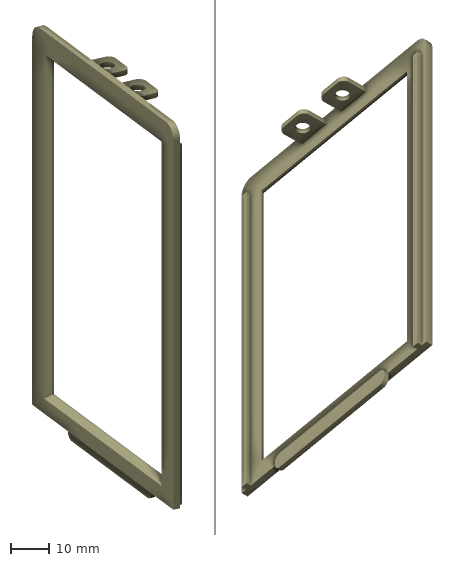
import cadquery as cq

width = 76.0
depth = 10.0
height = 114.2

frame_thickness = 2.0
frame_bottom = 4.0
frame_top_radius = 4.0

window_margin = 6.5
window_bottom_margin = 4.3
window_bevel = 1.5

back_thickness = 1.5
rail_width = 1.9
rail_inset = 1.8
rail_top = 108.1

tongue_width = 45.0
tongue_radius = 2.0
tongue_height = 5.0

lug_width = 10.0
lug_pitch = 16.3
lug_thickness = 1.5
lug_top = 112.4
lug_radius = 2.0
hole_diameter = 4.0
hole_to_lug_end = 4.1


def block(x_min, x_max, y_min, y_max, z_min, z_max):
    """Box given by its limits along each axis."""
    size = (x_max - x_min, y_max - y_min, z_max - z_min)
    return cq.Workplane("XY").box(*size, centered=False).translate((x_min, y_min, z_min))


def make_window():
    """Rectangular opening through the frame, widened by the bevel at the front."""
    side = width / 2 - window_margin - window_bevel
    bottom = frame_bottom + window_bottom_margin + window_bevel
    top = height - window_margin - window_bevel
    straight = block(-side, side, 0, frame_thickness, bottom, top)
    bevel = (
        cq.Workplane("XZ", origin=(0, 0, (top + bottom) / 2))
        .rect(2 * (side + window_bevel), top - bottom + 2 * window_bevel)
        .workplane(offset=-window_bevel)
        .rect(2 * side, top - bottom)
        .loft(ruled=True)
    )
    return straight.union(bevel)


def make_frame():
    plate = block(-width / 2, width / 2, 0, frame_thickness, frame_bottom, height)
    plate = plate.edges("|Y and >Z").fillet(frame_top_radius)
    return plate.cut(make_window())


def make_rail(side):
    """Straight rail near one side edge; side is -1 or 1."""
    outer = width / 2 - rail_inset
    x_min, x_max = sorted((side * outer, side * (outer - rail_width)))
    return block(x_min, x_max, frame_thickness, frame_thickness + back_thickness, frame_bottom, rail_top)


def make_tongue():
    """Rounded plate overlapping the back of the lower bar and reaching below the frame."""
    back = frame_thickness + back_thickness
    plate = block(-tongue_width / 2, tongue_width / 2, frame_thickness, back, 0, tongue_height)
    return plate.edges("|Y").fillet(tongue_radius)


def make_lug(center_x):
    """Horizontal lug with a vertical hole behind the top bar."""
    lug = block(
        center_x - lug_width / 2,
        center_x + lug_width / 2,
        frame_thickness,
        depth,
        lug_top - lug_thickness,
        lug_top,
    )
    lug = lug.edges("|Z and >Y").fillet(lug_radius)
    hole = (
        cq.Workplane("XY", origin=(center_x, depth - hole_to_lug_end, lug_top - lug_thickness))
        .circle(hole_diameter / 2)
        .extrude(lug_thickness)
    )
    return lug.cut(hole)


result = make_frame().union(make_tongue())
for side in (-1, 1):
    result = result.union(make_rail(side))
    result = result.union(make_lug(side * lug_pitch / 2))